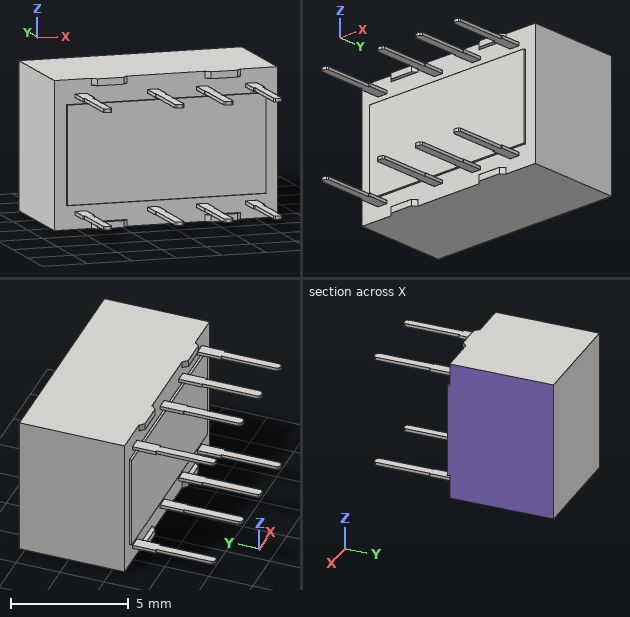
import cadquery as cq

case_width = 10.0
case_height = 6.5
overall_depth = 8.5
pin_length = 3.7
case_depth = overall_depth - pin_length

panel_width = 8.9
panel_height = 4.35
panel_rise = 0.11

foot_base_width = 1.57
foot_tip_width = 1.18
foot_rise = 0.21
foot_height = 0.3
foot_offset_x = 2.54

pin_row_z = 2.54
pin_thickness = 0.15
shoulder_length = 1.07
tip_length = 0.11
tip_width = 0.26
tip_bulge = 0.03
end_pin_x = 3.81
inner_pin_places = (-0.59, 1.6)
end_shoulder_width = 0.52
end_blade_width = 0.37
inner_shoulder_width = 0.48
inner_blade_width = 0.41


def box_on_pin_face(width, height, rise):
    """Block standing out of the pin face towards -Y."""
    return cq.Workplane("XZ").rect(width, height).extrude(rise)


def foot(x, side):
    """Trapezoidal foot flush with the top (side = 1) or bottom (side = -1) of the case."""
    half_base = foot_base_width / 2
    half_tip = foot_tip_width / 2
    centre_z = side * (case_height - foot_height) / 2
    outline = [
        (-half_base, 0),
        (-half_tip, -foot_rise),
        (half_tip, -foot_rise),
        (half_base, 0),
    ]
    profile = cq.Workplane("XY").polyline(outline).close()
    return profile.extrude(foot_height / 2, both=True).translate((x, 0, centre_z))


def pin(x, z, shoulder_width, blade_width):
    """Flat pin running from the pin face towards -Y."""
    half_shoulder = shoulder_width / 2
    half_blade = blade_width / 2
    half_tip = tip_width / 2
    arc_start_y = tip_bulge - pin_length
    right_side = [
        (half_shoulder, 0),
        (half_shoulder, -shoulder_length),
        (half_blade, -shoulder_length),
        (half_blade, tip_length - pin_length),
        (half_tip, arc_start_y),
    ]
    left_side = [(-px, py) for px, py in reversed(right_side)]
    profile = (
        cq.Workplane("XY")
        .polyline(right_side)
        .threePointArc((0, -pin_length), (-half_tip, arc_start_y))
        .polyline(left_side[1:], includeCurrent=True)
        .close()
    )
    return profile.extrude(pin_thickness / 2, both=True).translate((x, 0, z))


case = box_on_pin_face(case_width, case_height, -case_depth)
result = case.union(box_on_pin_face(panel_width, panel_height, panel_rise))

for side in (-1, 1):
    for x in (-foot_offset_x, foot_offset_x):
        result = result.union(foot(x, side))
    for x in (-end_pin_x, end_pin_x):
        result = result.union(pin(x, side * pin_row_z, end_shoulder_width, end_blade_width))
    for x in inner_pin_places:
        result = result.union(pin(x, side * pin_row_z, inner_shoulder_width, inner_blade_width))